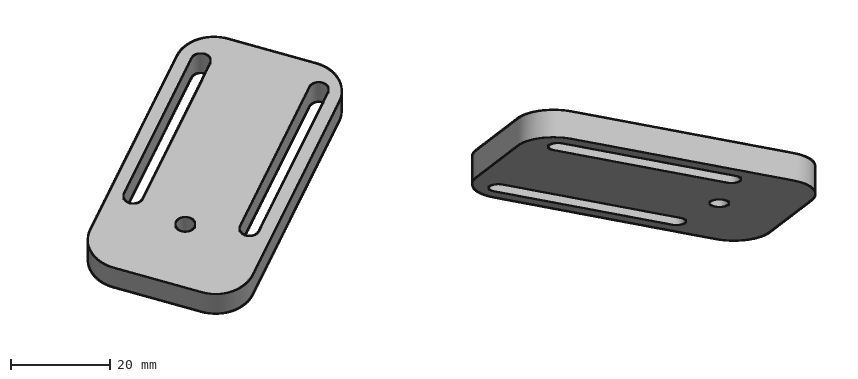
import cadquery as cq

plate_width = 35.0
plate_length = 66.0
plate_thickness = 6.0
corner_radius = 8.0

slot_width = 4.0
slot_spacing = 25.0
slot_lower_end_y = -15.5
left_slot_length = 43.0
right_slot_length = 44.0

hole_diameter = 4.0
hole_y = -17.0


def make_plate():
    """Flat plate with rounded vertical corners."""
    plate = cq.Workplane("XY").box(
        plate_width, plate_length, plate_thickness, centered=(True, True, False)
    )
    return plate.edges("|Z").fillet(corner_radius)


def slot_cutter(center_x, length):
    """Round-ended slot along Y, starting at the shared lower end."""
    center_y = slot_lower_end_y + length / 2
    return (
        cq.Workplane("XY")
        .center(center_x, center_y)
        .slot2D(length, slot_width, angle=90)
        .extrude(plate_thickness)
    )


def hole_cutter():
    """Cylinder for the through hole."""
    return (
        cq.Workplane("XY")
        .center(0, hole_y)
        .circle(hole_diameter / 2)
        .extrude(plate_thickness)
    )


result = (
    make_plate()
    .cut(slot_cutter(-slot_spacing / 2, left_slot_length))
    .cut(slot_cutter(slot_spacing / 2, right_slot_length))
    .cut(hole_cutter())
)